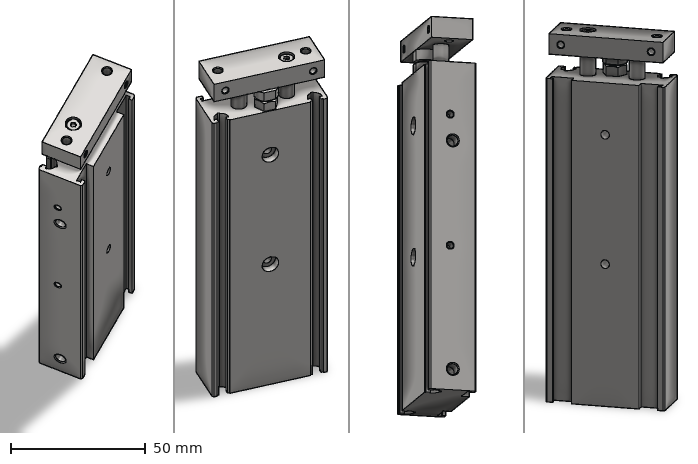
import cadquery as cq
import math

TOTAL_HEIGHT = 142.0
HOUSING_X = 18.0
HOUSING_Y = 46.0
HOUSING_HEIGHT = 125.0
CORNER_CHAMFER = 0.5

SENSOR_GROOVE_Y = 18.6
SENSOR_GROOVE_DIAMETER = 5.5
SENSOR_MOUTH_WIDTH = 3.4
SENSOR_GROOVE_DEPTH = 5.3
SENSOR_LIP_THICKNESS = 2.1
MOUTH_STEP_WIDTH = 5.1
MOUTH_STEP_DEPTH = 0.4
NOTCH_WIDTH = 0.9
NOTCH_DEPTH = 0.4

RECESS_INNER_Y = 13.0
RECESS_OUTER_Y = 20.3
RECESS_UNDERCUT_Y = 21.5
RECESS_LIP_THICKNESS = 1.4
RECESS_DEPTH = 3.0

MOUNT_HEIGHTS = (55.0, 105.0)
MOUNT_HOLE_DIAMETER = 3.3
MOUNT_COUNTERBORE_DIAMETER = 6.5
MOUNT_COUNTERBORE_DEPTH = 3.3
SCREW_DRILL = 2.4
SCREW_MOUTH = 3.0
SIDE_SCREW_DEPTH = 5.0
PORT_HEIGHTS = (8.0, 95.0)
PORT_DRILL = 4.1
PORT_MOUTH = 5.0
PORT_DEPTH = 6.0
DRILL_TIP_ANGLE = 118.0

PLATE_X = 15.9
PLATE_Y = 44.0
PLATE_THICKNESS = 8.0
ROD_DIAMETER = 6.0
ROD_X = -1.0
ROD_Y = 9.5
PLATE_HOLE_Y = 17.5
PLATE_HOLE_DRILL = 3.3
PLATE_HOLE_MOUTH = 4.0
PLATE_SCREW_DEPTH = 6.0

ROD_SCREW_RECESS = 0.5
ROD_SCREW_FACE_DIAMETER = 5.0
ROD_SCREW_GAP_DEPTH = 1.1
SOCKET_ACROSS_FLATS = 2.0
SOCKET_DEPTH = 1.1

HEX_HALF_ANGLE = math.pi / 6
HEX_TURN = math.degrees(HEX_HALF_ANGLE)

BOLT_X = -4.5
STUD_DIAMETER = 5.0
HEX_ACROSS_FLATS = 8.0
NUT_HEIGHT = 4.0
NUT_FACE_DIAMETER = 7.4
NUT_CHAMFER_ANGLE = math.radians(30)
BOLT_HEAD_GAP = 0.5
HEX_ACROSS_CORNERS = HEX_ACROSS_FLATS / math.cos(HEX_HALF_ANGLE)

PLATE_BOTTOM = TOTAL_HEIGHT - PLATE_THICKNESS
PLATE_MIDDLE = PLATE_BOTTOM + PLATE_THICKNESS / 2
GAP_HEIGHT = PLATE_BOTTOM - HOUSING_HEIGHT
HEAD_BOTTOM = HOUSING_HEIGHT + NUT_HEIGHT + BOLT_HEAD_GAP
HEAD_HEIGHT = PLATE_BOTTOM - BOLT_HEAD_GAP - HEAD_BOTTOM


def tapped_hole(drill, mouth, depth):
    """Cutter along +Z from the origin: 45 degree mouth, bore and conical drill tip."""
    radius = drill / 2
    mouth_depth = (mouth - drill) / 2
    tip = radius / math.tan(math.radians(DRILL_TIP_ANGLE / 2))
    profile = [(0, 0), (mouth / 2, 0), (radius, mouth_depth), (radius, depth), (0, depth + tip)]
    return cq.Workplane("XZ").polyline(profile).close().revolve(360, (0, 0, 0), (0, 1, 0))


def groove_strip(x_start, x_end, width):
    """Full-height strip between two X places, centred on the +Y sensor groove."""
    strip = cq.Workplane("XY").center((x_start + x_end) / 2, SENSOR_GROOVE_Y)
    return strip.rect(x_end - x_start, width).extrude(HOUSING_HEIGHT)


def sensor_groove():
    """Cutter for the +Y sensor groove: stepped mouth, round bed and a notch in its floor."""
    face = -HOUSING_X / 2
    radius = SENSOR_GROOVE_DIAMETER / 2
    bed_x = face + SENSOR_GROOVE_DEPTH - radius
    bed = cq.Workplane("XY").center(bed_x, SENSOR_GROOVE_Y).circle(radius).extrude(HOUSING_HEIGHT)
    bed = bed.intersect(groove_strip(face + SENSOR_LIP_THICKNESS, 0, SENSOR_GROOVE_DIAMETER))
    mouth = groove_strip(face, bed_x, SENSOR_MOUTH_WIDTH)
    step = groove_strip(face, face + MOUTH_STEP_DEPTH, MOUTH_STEP_WIDTH)
    notch = groove_strip(bed_x, bed_x + radius + NOTCH_DEPTH, NOTCH_WIDTH)
    return bed.union(mouth).union(step).union(notch)


def recess():
    """Cutter for the +Y long recess in the +X face, undercut behind its outer lip."""
    face = HOUSING_X / 2
    lip_back = face - RECESS_LIP_THICKNESS
    floor = face - RECESS_DEPTH
    outline = [
        (face, RECESS_INNER_Y),
        (face, RECESS_OUTER_Y),
        (lip_back, RECESS_OUTER_Y),
        (lip_back, RECESS_UNDERCUT_Y),
        (floor, RECESS_UNDERCUT_Y),
        (floor, RECESS_INNER_Y),
    ]
    return cq.Workplane("XY").polyline(outline).close().extrude(HOUSING_HEIGHT)


def stop_bolt():
    """Lock nut on the housing, stud, and a round head with two spanner flats."""
    axis = cq.Workplane("XY", origin=(BOLT_X, 0, HOUSING_HEIGHT))
    nut = axis.polygon(6, HEX_ACROSS_CORNERS).extrude(NUT_HEIGHT)
    nut = nut.rotate((BOLT_X, 0, 0), (BOLT_X, 0, 1), HEX_TURN)
    chamfer = (HEX_ACROSS_CORNERS - NUT_FACE_DIAMETER) / 2
    nut_turning = (
        axis.circle(HEX_ACROSS_CORNERS / 2)
        .extrude(NUT_HEIGHT)
        .faces(">Z")
        .chamfer(chamfer * math.tan(NUT_CHAMFER_ANGLE), chamfer)
    )
    stud = axis.circle(STUD_DIAMETER / 2).extrude(GAP_HEIGHT)
    head_base = cq.Workplane("XY", origin=(BOLT_X, 0, HEAD_BOTTOM))
    flats = head_base.rect(HEX_ACROSS_FLATS, HEX_ACROSS_CORNERS).extrude(HEAD_HEIGHT)
    head = head_base.circle(HEX_ACROSS_CORNERS / 2).extrude(HEAD_HEIGHT).intersect(flats)
    return nut.intersect(nut_turning).union(stud).union(head)


def build_housing():
    body = cq.Workplane("XY").box(HOUSING_X, HOUSING_Y, HOUSING_HEIGHT, centered=(True, True, False))
    body = body.edges("|Z").chamfer(CORNER_CHAMFER)
    for channel in (sensor_groove(), recess()):
        body = body.cut(channel).cut(channel.mirror("XZ"))

    for height in MOUNT_HEIGHTS:
        mount = cq.Workplane("YZ", origin=(-HOUSING_X / 2, 0, height))
        body = body.cut(mount.circle(MOUNT_HOLE_DIAMETER / 2).extrude(HOUSING_X))
        body = body.cut(mount.circle(MOUNT_COUNTERBORE_DIAMETER / 2).extrude(MOUNT_COUNTERBORE_DEPTH))

    side_screw = tapped_hole(SCREW_DRILL, SCREW_MOUTH, SIDE_SCREW_DEPTH)
    port = tapped_hole(PORT_DRILL, PORT_MOUTH, PORT_DEPTH)
    side_holes = [(side_screw, ROD_X, height) for height in MOUNT_HEIGHTS]
    side_holes += [(port, 0, height) for height in PORT_HEIGHTS]
    for cutter, x, height in side_holes:
        inward = cutter.rotate((0, 0, 0), (1, 0, 0), -90)
        body = body.cut(inward.translate((x, -HOUSING_Y / 2, height)))

    return body.union(stop_bolt())


def rod_screw_recess():
    """Cutter above the -Y rod: bore that runs on as a ring gap round the screw end, and its socket."""
    bore = cq.Workplane("XY").circle(ROD_DIAMETER / 2).extrude(-ROD_SCREW_GAP_DEPTH)
    screw_end = cq.Workplane("XY", origin=(0, 0, -ROD_SCREW_GAP_DEPTH))
    screw_end = screw_end.circle(ROD_SCREW_FACE_DIAMETER / 2).extrude(ROD_SCREW_GAP_DEPTH - ROD_SCREW_RECESS)
    ring = bore.cut(screw_end)
    socket_corners = SOCKET_ACROSS_FLATS / math.cos(HEX_HALF_ANGLE)
    socket = cq.Workplane("XY").polygon(6, socket_corners).extrude(-ROD_SCREW_RECESS - SOCKET_DEPTH)
    socket = socket.rotate((0, 0, 0), (0, 0, 1), HEX_TURN)
    return ring.union(socket).translate((ROD_X, -ROD_Y, TOTAL_HEIGHT))


def build_plate_with_rods():
    body = cq.Workplane("XY", origin=(0, 0, PLATE_MIDDLE)).box(PLATE_X, PLATE_Y, PLATE_THICKNESS)
    rod_places = [(ROD_X, -ROD_Y), (ROD_X, ROD_Y)]
    rods = cq.Workplane("XY", origin=(0, 0, HOUSING_HEIGHT)).pushPoints(rod_places)
    body = body.union(rods.circle(ROD_DIAMETER / 2).extrude(GAP_HEIGHT))

    top_hole = tapped_hole(PLATE_HOLE_DRILL, PLATE_HOLE_MOUTH, PLATE_THICKNESS)
    top_hole = top_hole.rotate((0, 0, 0), (1, 0, 0), 180)
    screw = tapped_hole(SCREW_DRILL, SCREW_MOUTH, PLATE_SCREW_DEPTH)
    for y in (-PLATE_HOLE_Y, PLATE_HOLE_Y):
        body = body.cut(top_hole.translate((0, y, TOTAL_HEIGHT)))
        for side in (-1, 1):
            inward = screw.rotate((0, 0, 0), (0, 1, 0), -90 * side)
            body = body.cut(inward.translate((side * PLATE_X / 2, y, PLATE_MIDDLE)))

    return body.cut(rod_screw_recess())


housing = build_housing()
plate_with_rods = build_plate_with_rods()
result = cq.Compound.makeCompound([housing.val(), plate_with_rods.val()])